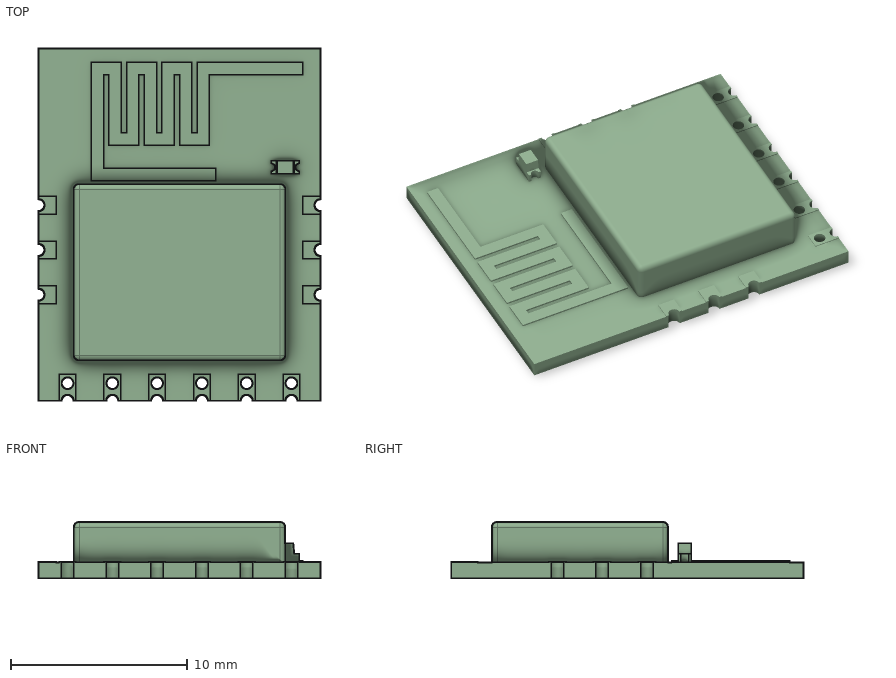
import cadquery as cq

board_width = 16.0
board_length = 20.0
board_thickness = 0.9
left_edge = -board_width / 2
right_edge = board_width / 2
front_edge = -board_length / 2
back_edge = board_length / 2

pad_thickness = 0.05
side_pad_width = 1.0
front_pad_width = 0.95
side_pad_length = 1.0
front_pad_length = 1.5
pad_pitch = 2.54
front_pad_count = 6
side_pad_count = 3
first_side_pad_from_back = 8.9
board_notch_diameter = 0.7
pad_notch_diameter = 0.65
via_diameter = 0.65
via_from_front = 1.0

total_height = 3.2
can_width = 12.0
can_length = 10.0
can_from_back = 7.7
can_edge_radius = 0.3

trace_width = 0.7
trace_thickness = 0.1
leg_pitch = 1.0
leg_count = 7
antenna_left = left_edge + 3.0
antenna_back = back_edge - 0.8
meander_front = back_edge - 5.5
feed_front = back_edge - 7.5
feed_length = 7.05
tail_right = left_edge + 15.0

led_center_x = left_edge + 14.0
led_center_y = back_edge - 6.75
led_width = 0.75
led_base_length = 1.6
led_base_top = 1.4
led_lens_bottom_length = 1.03
led_lens_top_length = 0.92
led_top = 2.0
led_notch_radius = 0.22


def block(x_min, x_max, y_min, y_max, z_min, z_max):
    """Axis-aligned box between two opposite corners."""
    size = (x_max - x_min, y_max - y_min, z_max - z_min)
    return cq.Workplane("XY").box(*size, centered=False).translate((x_min, y_min, z_min))


def top_layer(x_min, x_max, y_min, y_max, thickness):
    """Thin rectangle of copper lying on the board."""
    return block(x_min, x_max, y_min, y_max, board_thickness, board_thickness + thickness)


def vertical_cylinders(points, diameter):
    """Cutters that pass through the full height of the part."""
    return cq.Workplane("XY").pushPoints(points).circle(diameter / 2).extrude(total_height)


def make_padded_board():
    front_span = (front_pad_count - 1) * pad_pitch
    front_xs = [i * pad_pitch - front_span / 2 for i in range(front_pad_count)]
    first_side_y = back_edge - first_side_pad_from_back
    side_ys = [first_side_y - i * pad_pitch for i in range(side_pad_count)]
    notch_points = [(x, front_edge) for x in front_xs]
    notch_points += [(x, y) for x in (left_edge, right_edge) for y in side_ys]
    via_points = [(x, front_edge + via_from_front) for x in front_xs]

    board = block(left_edge, right_edge, front_edge, back_edge, 0, board_thickness)
    board = board.cut(vertical_cylinders(notch_points, board_notch_diameter))
    pad_cutter = vertical_cylinders(notch_points, pad_notch_diameter)

    half_front_pad = front_pad_width / 2
    pad_back = front_edge + front_pad_length
    for x in front_xs:
        pad = top_layer(x - half_front_pad, x + half_front_pad, front_edge, pad_back, pad_thickness)
        board = board.union(pad.cut(pad_cutter))

    half_side_pad = side_pad_width / 2
    for y in side_ys:
        for x_min in (left_edge, right_edge - side_pad_length):
            x_max = x_min + side_pad_length
            pad = top_layer(x_min, x_max, y - half_side_pad, y + half_side_pad, pad_thickness)
            board = board.union(pad.cut(pad_cutter))

    return board.cut(vertical_cylinders(via_points, via_diameter))


def make_shield_can():
    can_back = back_edge - can_from_back
    can = block(-can_width / 2, can_width / 2, can_back - can_length, can_back, board_thickness, total_height)
    return can.edges("|Z or >Z").fillet(can_edge_radius)


def make_antenna():
    feed_right = antenna_left + feed_length
    antenna = top_layer(antenna_left, feed_right, feed_front, feed_front + trace_width, trace_thickness)
    for leg in range(leg_count):
        leg_left = antenna_left + leg * leg_pitch
        leg_front = feed_front if leg == 0 else meander_front
        leg_right = leg_left + trace_width
        antenna = antenna.union(top_layer(leg_left, leg_right, leg_front, antenna_back, trace_thickness))

        is_last = leg == leg_count - 1
        link_right = tail_right if is_last else leg_right + leg_pitch
        link_front = antenna_back - trace_width if leg % 2 == 0 else meander_front
        link_back = link_front + trace_width
        antenna = antenna.union(top_layer(leg_left, link_right, link_front, link_back, trace_thickness))
    return antenna


def make_led():
    base_left = led_center_x - led_base_length / 2
    base_right = led_center_x + led_base_length / 2
    led_front = led_center_y - led_width / 2
    led_back = led_center_y + led_width / 2

    base = block(base_left, base_right, led_front, led_back, board_thickness, led_base_top)
    notch_points = [(base_left, led_center_y), (base_right, led_center_y)]
    base = base.cut(vertical_cylinders(notch_points, 2 * led_notch_radius))

    half_bottom = led_lens_bottom_length / 2
    half_top = led_lens_top_length / 2
    lens_outline = [
        (led_center_x - half_bottom, led_base_top),
        (led_center_x + half_bottom, led_base_top),
        (led_center_x + half_top, led_top),
        (led_center_x - half_top, led_top),
    ]
    lens = cq.Workplane("XZ", origin=(0, led_back, 0)).polyline(lens_outline).close().extrude(led_width)
    return base.union(lens)


result = make_padded_board().union(make_shield_can()).union(make_antenna()).union(make_led())